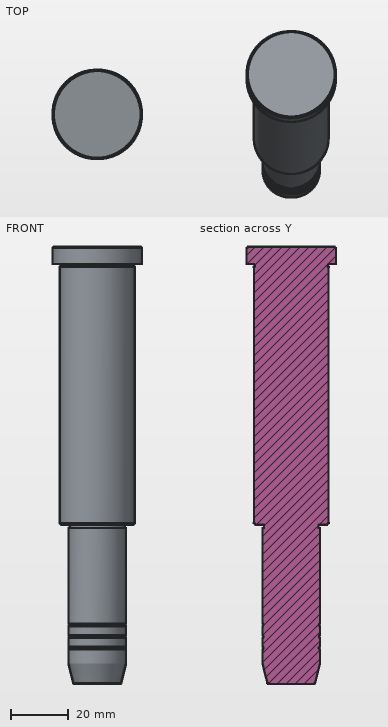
import math

import cadquery as cq

total_length = 151.0
head_diameter = 31.0
head_height = 6.0
head_chamfer = 0.5

body_diameter = 26.0
body_length = 90.0
body_end_chamfer = 0.6

shank_diameter = 20.0
tip_height = 7.0
tip_taper_angle = 13.5
tip_edge_chamfer = 0.3

relief_width = 1.0
relief_depth = 0.5
ring_groove_width = 1.0
ring_groove_depth = 0.38
ring_groove_count = 3
ring_groove_span = 8.0
lowest_ring_groove = 12.0

head_radius = head_diameter / 2
body_radius = body_diameter / 2
shank_radius = shank_diameter / 2
tip_end_radius = shank_radius - tip_height * math.tan(math.radians(tip_taper_angle))
head_bottom = total_length - head_height
body_bottom = head_bottom - body_length
ring_groove_pitch = ring_groove_span / (ring_groove_count - 1)


def turned_blank():
    """Half profile of head, body, shank and tip, revolved about Z."""
    return (
        cq.Workplane("XZ")
        .lineTo(tip_end_radius - tip_edge_chamfer, 0)
        .lineTo(tip_end_radius, tip_edge_chamfer)
        .lineTo(shank_radius, tip_height)
        .lineTo(shank_radius, body_bottom)
        .lineTo(body_radius - body_end_chamfer, body_bottom)
        .lineTo(body_radius, body_bottom + body_end_chamfer)
        .lineTo(body_radius, head_bottom)
        .lineTo(head_radius, head_bottom)
        .lineTo(head_radius, total_length - head_chamfer)
        .lineTo(head_radius - head_chamfer, total_length)
        .lineTo(0, total_length)
        .close()
        .revolve(360, (0, 0, 0), (0, 1, 0))
    )


def square_groove(outer_radius, bottom, width, depth):
    """Ring that cuts a square groove into a cylinder of the given radius."""
    return (
        cq.Workplane("XY")
        .workplane(offset=bottom)
        .circle(outer_radius)
        .circle(outer_radius - depth)
        .extrude(width)
    )


def vee_groove(outer_radius, bottom, width, depth):
    """Ring that cuts a V groove into a cylinder of the given radius."""
    return (
        cq.Workplane("XZ")
        .moveTo(outer_radius, bottom)
        .lineTo(outer_radius - depth, bottom + width / 2)
        .lineTo(outer_radius, bottom + width)
        .close()
        .revolve(360, (0, 0, 0), (0, 1, 0))
    )


result = turned_blank()

head_relief_bottom = head_bottom - relief_width
body_relief_bottom = body_bottom - relief_width
result = result.cut(vee_groove(body_radius, head_relief_bottom, relief_width, relief_depth))
result = result.cut(square_groove(shank_radius, body_relief_bottom, relief_width, relief_depth))

for index in range(ring_groove_count):
    bottom = lowest_ring_groove + index * ring_groove_pitch
    result = result.cut(vee_groove(shank_radius, bottom, ring_groove_width, ring_groove_depth))